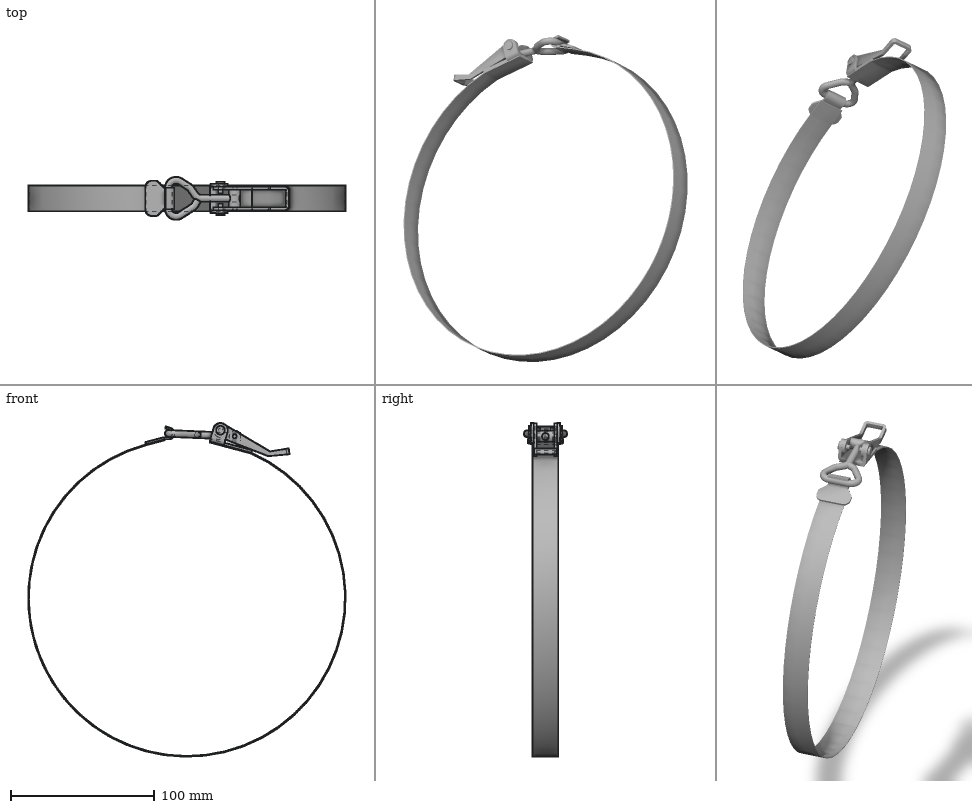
import cadquery as cq
import math


band_radius = 110.8
band_thickness = 0.7
band_width = 18.1
band_inner_radius = band_radius - band_thickness

fitting_angle = 15.0
flat_half_angle = 9.0
flat_radius = band_radius * math.cos(math.radians(flat_half_angle))
flat_half_length = band_radius * math.sin(math.radians(flat_half_angle))

hook_thickness = 1.6
hook_width = 15.0
lobe_width = 24.7
lobe_start = 8.4
neck = 13.5
lobe_rounding = 2.8
lobe_corner = 4.7
hook_centre = (17.2, 114.0)
hook_inner_radius = 2.5
hook_start = -105.0
hook_finish = 58.0
hook_tip = 3.3

wire_diameter = 5.0
wire_radius = wire_diameter / 2
wire_bend = 5.4
loop_half_width = 17.0
upper_knee = (15.1, 7.5)
lower_knee = (18.0, -5.5)
stem_start = 20.2
short_leg_end = (20.5, -1.2)

sheet = 2.0
base_thickness = 1.9
base_top = flat_radius + base_thickness
cheek_inner = 8.1
cheek_outer = cheek_inner + sheet
cheek_radius = 5.1
bend_outer = 3.0
rivet_u = -7.7
rivet_v = 119.0
cheek_start = rivet_u - cheek_radius
cheek_end = rivet_u + cheek_radius

rivet_head_radius = 3.0
rivet_head_height = 1.5
rivet_shank_radius = 1.6
rivet_tip = 3.7

lever_outer = cheek_inner
lever_inner = lever_outer - sheet
lever_eye_radius = 5.0
lever_upper_knee = (58.0, 102.1)
lever_lower_knee = (56.8, 98.7)
lever_upper_end = (71.0, 104.2)
lever_lower_end = (71.7, 100.0)
lever_corner = 2.8

barrel_centre = (33.3, 112.6)
barrel_radius = 4.0
journal_radius = 1.5


def tilted(u, v, angle):
    """(X, Z) of fitting coordinates turned clockwise by angle from the top of the ring."""
    a = math.radians(angle)
    return (u * math.cos(a) + v * math.sin(a), v * math.cos(a) - u * math.sin(a))


def cylinder_y(x, z, radius, y_start, y_end):
    """Cylinder parallel to Y, centred at (x, z)."""
    return (
        cq.Workplane(cq.Plane(origin=(x, y_start, z), xDir=(1, 0, 0), normal=(0, 1, 0)))
        .circle(radius)
        .extrude(y_end - y_start)
    )


def polar(radius, degrees, centre):
    """Point at a radius and angle from a centre."""
    a = math.radians(degrees)
    return (centre[0] + radius * math.cos(a), centre[1] + radius * math.sin(a))


def side_plane(angle=0.0):
    """Plane through the ring centre with local x along u, local y along v, and its normal along -Y."""
    a = math.radians(angle)
    return cq.Plane(origin=(0, 0, 0), xDir=(math.cos(a), 0, -math.sin(a)), normal=(0, -1, 0))


def on_ring(radius, angle):
    """(X, Z) of a point on the ring, clockwise from the top."""
    return tilted(0, radius, angle)


rivet_x, rivet_z = tilted(rivet_u, rivet_v, fitting_angle)
crossbar_x, crossbar_z = tilted(*hook_centre, -fitting_angle)
barrel_x, barrel_z = barrel_centre
crossbar_to_barrel = cq.Vector(barrel_x - crossbar_x, 0, barrel_z - crossbar_z)
stem_length = crossbar_to_barrel.Length
stem_direction = crossbar_to_barrel.normalized()


def make_band():
    """Ring in two arcs that meet at the bottom, straight under each fitting, open between them."""
    left = -fitting_angle
    left_middle = (left - 180) / 2
    flat_end = fitting_angle + flat_half_angle
    right_middle = (flat_end + 180) / 2
    flat_inner_radius = flat_radius - band_thickness
    return (
        cq.Workplane(side_plane())
        .moveTo(*tilted(neck, band_radius, left))
        .lineTo(*on_ring(band_radius, left))
        .threePointArc(on_ring(band_radius, left_middle), on_ring(band_radius, 180))
        .threePointArc(on_ring(band_radius, right_middle), on_ring(band_radius, flat_end))
        .lineTo(*tilted(cheek_start, flat_radius, fitting_angle))
        .lineTo(*tilted(cheek_start, flat_inner_radius, fitting_angle))
        .lineTo(*tilted(flat_half_length, flat_inner_radius, fitting_angle))
        .threePointArc(on_ring(band_inner_radius, right_middle), on_ring(band_inner_radius, 180))
        .threePointArc(on_ring(band_inner_radius, left_middle), on_ring(band_inner_radius, left))
        .lineTo(*tilted(neck, band_inner_radius, left))
        .close()
        .extrude(band_width / 2, both=True)
    )


def make_hook():
    """Plate with two side lobes and a narrower tongue curled over the crossbar of the link."""
    bottom = band_radius
    top = band_radius + hook_thickness
    outer = hook_inner_radius + hook_thickness
    middle = (hook_start + hook_finish) / 2
    outer_finish = polar(outer, hook_finish, hook_centre)
    inner_finish = polar(hook_inner_radius, hook_finish, hook_centre)
    tip_direction = hook_finish + 90
    strip = (
        cq.Workplane(side_plane(-fitting_angle))
        .moveTo(0, bottom)
        .lineTo(neck, bottom)
        .lineTo(*polar(outer, hook_start, hook_centre))
        .threePointArc(polar(outer, middle, hook_centre), outer_finish)
        .lineTo(*polar(hook_tip, tip_direction, outer_finish))
        .lineTo(*polar(hook_tip, tip_direction, inner_finish))
        .lineTo(*inner_finish)
        .threePointArc(polar(hook_inner_radius, middle, hook_centre),
                       polar(hook_inner_radius, hook_start, hook_centre))
        .lineTo(neck, top)
        .lineTo(0, top)
        .close()
        .extrude(lobe_width / 2, both=True)
    )
    a = math.radians(fitting_angle)
    plan_plane = cq.Plane(origin=(0, 0, 0), xDir=(math.cos(a), 0, math.sin(a)),
                          normal=(-math.sin(a), 0, math.cos(a)))
    hook_right = hook_centre[0] + outer
    lobe = lobe_width / 2
    tongue = hook_width / 2
    height = hook_centre[1] + 2 * outer
    upright = cq.selectors.ParallelDirSelector(plan_plane.zDir)
    lobes = (
        cq.Workplane(plan_plane)
        .polyline([(0, -lobe), (lobe_start, -lobe), (neck, -tongue),
                   (neck, tongue), (lobe_start, lobe), (0, lobe)])
        .close()
        .extrude(height)
        .edges("<Y or >Y")
        .edges(upright)
        .edges(cq.selectors.DirectionMinMaxSelector(plan_plane.xDir, True))
        .fillet(lobe_rounding)
        .edges(upright)
        .edges(cq.selectors.DirectionMinMaxSelector(plan_plane.xDir, False))
        .fillet(lobe_corner)
    )
    tongue_plan = (
        cq.Workplane(plan_plane)
        .center(hook_right / 2, 0)
        .rect(hook_right, hook_width)
        .extrude(height)
    )
    return strip.intersect(lobes.union(tongue_plan))


def rounded_path(plane, points):
    """Path in the plane along the points, with every inner corner rounded to the bend radius."""
    path = cq.Workplane(plane).moveTo(*points[0])
    for before, corner, after in zip(points, points[1:], points[2:]):
        vertex = cq.Vector(*corner)
        back = (cq.Vector(*before) - vertex).normalized()
        ahead = (cq.Vector(*after) - vertex).normalized()
        half_angle = back.getAngle(ahead) / 2
        setback = wire_bend / math.tan(half_angle)
        depth = wire_bend / math.sin(half_angle) - wire_bend
        start = vertex + back * setback
        middle = vertex + (back + ahead).normalized() * depth
        finish = vertex + ahead * setback
        path = path.lineTo(start.x, start.y)
        path = path.threePointArc((middle.x, middle.y), (finish.x, finish.y))
    return path.lineTo(*points[-1])


def bent_wire(points):
    """Round wire along (distance from crossbar, y) points in the plane of the link."""
    plane = cq.Plane(origin=(crossbar_x, 0, crossbar_z), xDir=stem_direction,
                     normal=stem_direction.cross(cq.Vector(0, 1, 0)))
    start = plane.toWorldCoords(points[0])
    heading = plane.toWorldCoords(points[1]) - start
    section = cq.Plane(origin=start, xDir=plane.zDir, normal=heading)
    return cq.Workplane(section).circle(wire_radius).sweep(rounded_path(plane, points))


def make_link():
    """One wire bent into a loop; its short leg ends against the long leg, which runs on as the stem."""
    middle = (0, 0)
    tip = (stem_length + barrel_radius, 0)
    long_leg = bent_wire([middle, (0, loop_half_width), upper_knee, (stem_start, 0), tip])
    short_leg = bent_wire([middle, (0, -loop_half_width), lower_knee, short_leg_end])
    return long_leg.union(short_leg)


def bracket_trough(half_width, bottom, corner):
    """Bar along the bracket with its two lower edges rounded, open-ended above the cheeks."""
    start_x, start_z = tilted(cheek_start, 0, fitting_angle)
    end_x, end_z = tilted(cheek_end, 0, fitting_angle)
    along = cq.Vector(end_x - start_x, 0, end_z - start_z)
    section = cq.Plane(origin=(start_x, 0, start_z), xDir=(0, 1, 0), normal=along)
    top = rivet_v + cheek_radius
    low = bottom + corner
    side = half_width - corner
    arc_offset = corner * math.sqrt(0.5)
    return (
        cq.Workplane(section)
        .moveTo(-half_width, top)
        .lineTo(-half_width, low)
        .threePointArc((-side - arc_offset, low - arc_offset), (-side, bottom))
        .lineTo(side, bottom)
        .threePointArc((side + arc_offset, low - arc_offset), (half_width, low))
        .lineTo(half_width, top)
        .close()
        .extrude(along.Length)
    )


def make_bracket():
    """Channel with two round-topped cheeks, and a flat tongue running on to the end of the flat."""
    outside = bracket_trough(cheek_outer, flat_radius, bend_outer)
    inside = bracket_trough(cheek_inner, base_top, bend_outer - sheet)
    side_outline = (
        cq.Workplane(side_plane(fitting_angle))
        .moveTo(cheek_start, flat_radius)
        .lineTo(cheek_end, flat_radius)
        .lineTo(cheek_end, rivet_v)
        .threePointArc((rivet_u, rivet_v + cheek_radius), (cheek_start, rivet_v))
        .close()
        .extrude(cheek_outer, both=True)
    )
    tongue = (
        cq.Workplane(side_plane(fitting_angle))
        .moveTo(cheek_end, flat_radius)
        .lineTo(flat_half_length, flat_radius)
        .lineTo(flat_half_length, base_top)
        .lineTo(cheek_end, base_top)
        .close()
        .extrude(band_width / 2, both=True)
    )
    rivet_holes = cylinder_y(rivet_x, rivet_z, rivet_shank_radius, -cheek_outer, cheek_outer)
    return outside.cut(inside).intersect(side_outline).union(tongue).cut(rivet_holes)


def make_rivet(side):
    """Rivet through one cheek and lever arm; side is the sign of its y."""
    shank = cylinder_y(rivet_x, rivet_z, rivet_shank_radius, side * rivet_tip, side * cheek_outer)
    head = cylinder_y(rivet_x, rivet_z, rivet_head_radius, side * cheek_outer,
                      side * (cheek_outer + rivet_head_height))
    return shank.union(head)


def eye_tangent(point, side):
    """Where a line from point touches the lever eye; side is +1 for the upper line, -1 for the lower."""
    dx = point[0] - rivet_x
    dz = point[1] - rivet_z
    turn = side * math.acos(lever_eye_radius / math.hypot(dx, dz))
    return polar(lever_eye_radius, math.degrees(math.atan2(dz, dx) + turn), (rivet_x, rivet_z))


def rounded_end(half_width, inset, corner):
    """Tall block reaching back from the lever's handle end, set in from it, with rounded corners."""
    upper = cq.Vector(lever_upper_end[0], 0, lever_upper_end[1])
    lower = cq.Vector(lever_lower_end[0], 0, lever_lower_end[1])
    end_up = (upper - lower).normalized()
    inward = end_up.cross(cq.Vector(0, 1, 0))
    reach = 2 * (lower.x - rivet_x)
    return (
        cq.Workplane(cq.Plane(origin=lower, xDir=inward, normal=end_up))
        .center(inset + reach / 2, 0)
        .rect(reach, 2 * half_width)
        .extrude(reach, both=True)
        .edges(cq.selectors.ParallelDirSelector(end_up))
        .fillet(corner)
    )


def make_lever():
    """Two side arms turning on the rivets, joined only by the wall at the handle end."""
    upper_touch = eye_tangent(lever_upper_knee, 1)
    lower_touch = eye_tangent(lever_lower_knee, -1)
    far_side = (rivet_x - lever_eye_radius, rivet_z)
    outline = (
        cq.Workplane(side_plane())
        .moveTo(*upper_touch)
        .lineTo(*lever_upper_knee)
        .lineTo(*lever_upper_end)
        .lineTo(*lever_lower_end)
        .lineTo(*lever_lower_knee)
        .lineTo(*lower_touch)
        .threePointArc(far_side, upper_touch)
        .close()
    )
    return (
        outline.extrude(lever_outer, both=True)
        .intersect(rounded_end(lever_outer, 0, lever_corner))
        .cut(rounded_end(lever_inner, sheet, lever_corner - sheet))
        .cut(cylinder_y(rivet_x, rivet_z, rivet_shank_radius, -lever_outer, lever_outer))
        .cut(cylinder_y(barrel_x, barrel_z, journal_radius, -lever_outer, lever_outer))
    )


def make_barrel():
    """Cross pin between the lever arms, with thin journals and a hole for the stem of the link."""
    stem_hole = (
        cq.Workplane(cq.Plane(origin=(barrel_x, 0, barrel_z), xDir=(0, 1, 0), normal=stem_direction))
        .circle(wire_radius)
        .extrude(2 * barrel_radius, both=True)
    )
    return (
        cylinder_y(barrel_x, barrel_z, barrel_radius, -lever_inner, lever_inner)
        .union(cylinder_y(barrel_x, barrel_z, journal_radius, -lever_outer, lever_outer))
        .cut(stem_hole)
    )


band = make_band()
hook = make_hook()
link = make_link()
bracket = make_bracket()
lever = make_lever()
barrel = make_barrel()
rivets = [make_rivet(side) for side in (-1, 1)]

result = cq.Compound.makeCompound([
    band.val(), hook.val(), link.val(), bracket.val(), lever.val(), barrel.val(),
    *[rivet.val() for rivet in rivets],
])